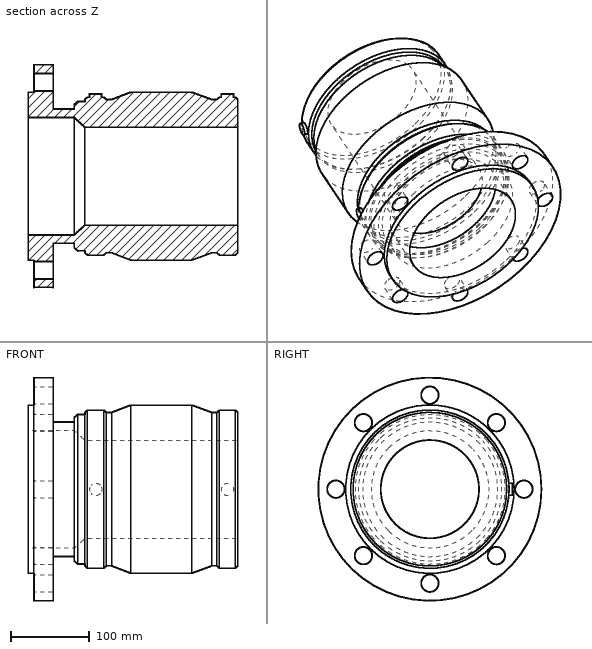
import cadquery as cq

flange_front = 7.5
flange_back = 32.2
neck_end = 58.7
shoulder_chamfer_end = 63.3
front_band_start = 72.5
front_band_end = 100.0
front_cone_start = 106.5
barrel_start = 131.0
barrel_end = 209.0
rear_cone_end = 234.5
rear_band_start = 240.8
total_length = 268.0

flange_radius = 285 / 2
barrel_radius = 215.0 / 2
raised_face_radius = barrel_radius
neck_radius = 172.0 / 2
shoulder_radius = 191.2 / 2
shoulder_chamfer_height = 4.3
band_radius = 202.0 / 2
groove_radius = 196.0 / 2
band_chamfer_length = 3.5
band_chamfer_height = band_radius - groove_radius

inlet_radius = 150.0 / 2
bore_radius = 125.0 / 2
bore_cone_start = neck_end
bore_cone_end = front_band_start

bolt_count = 8
bolt_hole_diameter = 22.0
bolt_circle_radius = 240.0 / 2

pad_diameter = 15.7
pad_top = 105.2
pad_base = 94.0


def band_outline(start, end):
    """Outer profile of a raised band with both rims chamfered."""
    return [
        (start, band_radius - band_chamfer_height),
        (start + band_chamfer_length, band_radius),
        (end - band_chamfer_length, band_radius),
        (end, band_radius - band_chamfer_height),
    ]


def make_body():
    """Hollow turned body: half section revolved about the X axis."""
    outside = [
        (0, raised_face_radius),
        (flange_front, raised_face_radius),
        (flange_front, flange_radius),
        (flange_back, flange_radius),
        (flange_back, neck_radius),
        (neck_end, neck_radius),
        (neck_end, shoulder_radius - shoulder_chamfer_height),
        (shoulder_chamfer_end, shoulder_radius),
        (front_band_start, shoulder_radius),
        *band_outline(front_band_start, front_band_end),
        (front_cone_start, groove_radius),
        (barrel_start, barrel_radius),
        (barrel_end, barrel_radius),
        (rear_cone_end, groove_radius),
        *band_outline(rear_band_start, total_length),
    ]
    bore = [
        (total_length, bore_radius),
        (bore_cone_end, bore_radius),
        (bore_cone_start, inlet_radius),
        (0, inlet_radius),
    ]
    return cq.Workplane("XY").polyline(outside + bore).close().revolve(360, (0, 0, 0), (1, 0, 0))


def make_bolt_holes():
    """Cutters for the bolt holes, evenly spaced through the flange."""
    return (
        cq.Workplane("YZ")
        .polarArray(bolt_circle_radius, 0, 360, bolt_count)
        .circle(bolt_hole_diameter / 2)
        .extrude(flange_back)
    )


def make_pad(band_start, band_end):
    """Round pad centred on a band, sunk into it and pointing along +Y."""
    pad_height = pad_top - pad_base
    base_center = cq.Vector((band_start + band_end) / 2, pad_base, 0)
    return cq.Solid.makeCylinder(pad_diameter / 2, pad_height, base_center, cq.Vector(0, 1, 0))


result = make_body().cut(make_bolt_holes())
for band in [(front_band_start, front_band_end), (rear_band_start, total_length)]:
    result = result.union(make_pad(*band))